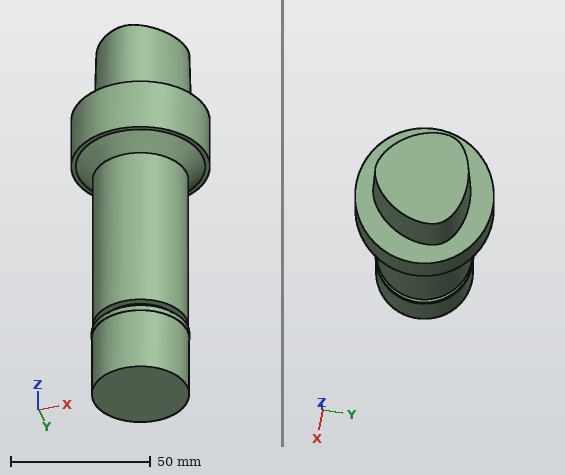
import cadquery as cq
import math

collar_diameter = 49.98
shank_diameter = 34.5
groove_diameter = 29.0
rim_diameter = 35.3
tail_diameter = 35.0

tail_length = 24.6
rim_length = 2.1
groove_length = 2.9
shank_length = 64.4
cone_length = 6.0
collar_length = 20.0

cone_large_diameter = shank_diameter + 2 * cone_length

cone_bottom = tail_length + rim_length + groove_length + shank_length
collar_top = cone_bottom + cone_length + collar_length

taper_length = 30.0
gauge_width = 35.0
gauge_height = 2.5
taper_ratio = 1 / 20
lobe_eccentricity = 1.12
lobe_count = 3
lobe_direction = math.radians(-90)
outline_point_count = 36


def add_disc(body, diameter, length):
    """Stack a plain cylinder on the highest face of the body."""
    top_face = body.faces(">Z").workplane(origin=(0, 0, 0))
    return top_face.circle(diameter / 2).extrude(length)


def make_body():
    """Tail, rim, groove, shank, support cone and collar stacked on the Z axis."""
    body = cq.Workplane("XY").circle(tail_diameter / 2).extrude(tail_length)
    body = add_disc(body, rim_diameter, rim_length)
    body = add_disc(body, groove_diameter, groove_length)
    body = add_disc(body, shank_diameter, shank_length)
    cone = cq.Solid.makeCone(
        shank_diameter / 2,
        cone_large_diameter / 2,
        cone_length,
        pnt=cq.Vector(0, 0, cone_bottom),
    )
    body = body.union(cq.Workplane(obj=cone))
    return add_disc(body, collar_diameter, collar_length)


def lobed_point(width, angle):
    """Point of a constant-width lobed curve whose outward normal lies at the given angle."""
    phase = lobe_count * (angle - lobe_direction)
    support = width / 2 + lobe_eccentricity * math.cos(phase)
    support_slope = -lobe_count * lobe_eccentricity * math.sin(phase)
    x = support * math.cos(angle) - support_slope * math.sin(angle)
    y = support * math.sin(angle) + support_slope * math.cos(angle)
    return x, y


def add_lobed_outline(workplane, width):
    """Draw the closed lobed outline of the given width."""
    step = 2 * math.pi / outline_point_count
    points = [lobed_point(width, i * step) for i in range(outline_point_count)]
    return workplane.spline(points, periodic=True).close()


def make_taper(bottom):
    """Polygon taper that narrows upward from the given height."""
    base_width = gauge_width + taper_ratio * gauge_height
    top_width = base_width - taper_ratio * taper_length
    base = add_lobed_outline(cq.Workplane("XY").workplane(offset=bottom), base_width)
    outlines = add_lobed_outline(base.workplane(offset=taper_length), top_width)
    return outlines.loft(ruled=True)


result = make_body().union(make_taper(collar_top))